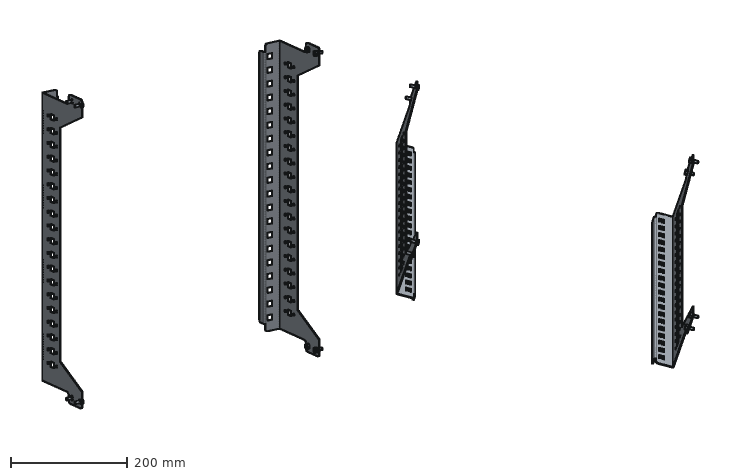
import cadquery as cq

total_height = 561.0
total_width = 520.0
rail_depth = 133.0

sheet = 2.0
web_bend_outside = 2.0
lip_bend_inside = 1.5
lip_bend_outside = lip_bend_inside + sheet
flange_x = 12.5
flange_width = 35.5

half_height = total_height / 2
body_half_height = 261.5
lip_half_height = 247.0
ear_width = 40.0
corner_radius = 5.0
ear_left_x = rail_depth - ear_width
ear_lower_z = 249.0
column_x = 67.5
column_half_height = 212.5

web_rows = 19
web_hole_span = 449.5
row_pitch = web_hole_span / (web_rows - 1)
flange_rows = web_rows + 1
square_size = 9.5
square_x = 43.0
round_diameter = 4.2
round_offset = 12.5
flange_square_offset = 22.0

shank_diameter = 5.0
tip_chamfer = 1.0
head_diameter = 9.5
recess_span = 5.0
recess_width = 1.5
recess_depth = 2.0
head_height = 4.0
screw_reach = 10.0
screw_end_inset = 11.0
screw_z = half_height - screw_end_inset
outer_screw_x = 125.5
screw_xs = (outer_screw_x - row_pitch, outer_screw_x)

web_y = total_width / 2 - screw_reach
lip_y = web_y - flange_width


def row_heights(count):
    """Heights of evenly spaced rows centred on the middle of the rail."""
    return [(row - (count - 1) / 2) * row_pitch for row in range(count)]


def bent_profile():
    """Z-shaped sheet section in the XY plane, extruded to full height."""
    inner_x = flange_x + sheet
    section = (
        cq.Workplane("XY")
        .moveTo(0, lip_y)
        .lineTo(inner_x - lip_bend_outside, lip_y)
        .radiusArc((inner_x, lip_y + lip_bend_outside), -lip_bend_outside)
        .lineTo(inner_x, web_y - sheet)
        .lineTo(rail_depth, web_y - sheet)
        .lineTo(rail_depth, web_y)
        .lineTo(flange_x + web_bend_outside, web_y)
        .radiusArc((flange_x, web_y - web_bend_outside), -web_bend_outside)
        .lineTo(flange_x, lip_y + lip_bend_outside)
        .radiusArc((flange_x - lip_bend_inside, lip_y + sheet), lip_bend_inside)
        .lineTo(0, lip_y + sheet)
        .close()
    )
    return section.extrude(half_height, both=True)


def round_corner(blank, x, z):
    """Round the edge that runs along Y at the given X and Z."""
    reach = sheet / 2
    edge_zone = cq.selectors.BoxSelector(
        (x - reach, lip_y - reach, z - reach),
        (x + reach, web_y + reach, z + reach),
    )
    return blank.edges("|Y").edges(edge_zone).fillet(corner_radius)


def front_envelope():
    """Side-on outline of the lip, web and ears, extruded through the whole section."""
    upper = [
        (0, lip_half_height),
        (flange_x, lip_half_height),
        (flange_x, body_half_height),
        (ear_left_x, body_half_height),
        (ear_left_x, half_height),
        (rail_depth, half_height),
        (rail_depth, ear_lower_z),
        (column_x, column_half_height),
    ]
    lower = [(x, -z) for x, z in reversed(upper)]
    blank = (
        cq.Workplane("XZ", origin=(0, web_y, 0))
        .polyline(upper + lower)
        .close()
        .extrude(flange_width)
    )

    rounded_corners = [
        (0, lip_half_height),
        (ear_left_x, body_half_height),
        (ear_left_x, half_height),
        (rail_depth, half_height),
    ]
    for x, z in rounded_corners:
        for side in (-1, 1):
            blank = round_corner(blank, x, side * z)
    return blank


def flange_envelope():
    """Outline seen along X: the flange with rounded ends, the lip, and the web with its ears."""
    flange_reach = web_y - lip_y - sheet - lip_bend_inside
    flange = (
        cq.Workplane("YZ", origin=(0, web_y, 0))
        .rect(2 * flange_reach, 2 * body_half_height)
        .extrude(rail_depth)
        .edges("|X")
        .fillet(corner_radius)
    )
    lip = (
        cq.Workplane("YZ", origin=(0, lip_y, 0))
        .rect(2 * flange_width, 2 * lip_half_height)
        .extrude(rail_depth)
    )
    web = (
        cq.Workplane("YZ", origin=(0, web_y, 0))
        .rect(2 * sheet, total_height)
        .extrude(rail_depth)
    )
    return flange.union(lip).union(web)


def web_holes():
    heights = row_heights(web_rows)
    plane = cq.Workplane("XZ", origin=(0, web_y, 0))
    squares = plane.pushPoints([(square_x, z) for z in heights]).rect(square_size, square_size).extrude(sheet)
    rounds = (
        plane.pushPoints([(square_x + side * round_offset, z) for z in heights for side in (-1, 1)])
        .circle(round_diameter / 2)
        .extrude(sheet)
    )
    return squares.add(rounds).combine()


def flange_holes():
    return (
        cq.Workplane("YZ", origin=(flange_x, 0, 0))
        .pushPoints([(web_y - flange_square_offset, z) for z in row_heights(flange_rows)])
        .rect(square_size, square_size)
        .extrude(sheet)
    )


def screw_holes():
    return (
        cq.Workplane("XZ", origin=(0, web_y, 0))
        .pushPoints([(x, side * screw_z) for x in screw_xs for side in (-1, 1)])
        .circle(shank_diameter / 2)
        .extrude(sheet)
    )


def make_rail():
    """Rail on the +Y side, with its web facing outward."""
    rail = bent_profile().intersect(front_envelope()).intersect(flange_envelope())
    return rail.cut(web_holes()).cut(flange_holes()).cut(screw_holes()).val()


def make_screw(x, z):
    """Screw on the +Y side: head on the inner web face, shank pointing outward."""
    seat_y = web_y - sheet
    head_top_y = seat_y - head_height
    tip_y = web_y + screw_reach
    profile = (
        cq.Workplane("XY")
        .moveTo(0, head_top_y)
        .lineTo(head_diameter / 2, head_top_y)
        .lineTo(head_diameter / 2, seat_y)
        .lineTo(shank_diameter / 2, seat_y)
        .lineTo(shank_diameter / 2, tip_y - tip_chamfer)
        .lineTo(shank_diameter / 2 - tip_chamfer, tip_y)
        .lineTo(0, tip_y)
        .close()
    )
    screw = profile.revolve(360, (0, 0, 0), (0, 1, 0))
    arm = (recess_span, recess_depth, recess_width)
    recess = cq.Workplane("XY").box(*arm).union(cq.Workplane("XY").box(*reversed(arm)))
    recess = recess.translate((0, head_top_y + recess_depth / 2, 0))
    return screw.cut(recess).translate((x, 0, z)).val()


rail = make_rail()
screws = [make_screw(x, side * screw_z) for x in screw_xs for side in (-1, 1)]
one_side = [rail, *screws]
other_side = [body.mirror("XZ") for body in one_side]

result = cq.Compound.makeCompound([*one_side, *other_side])